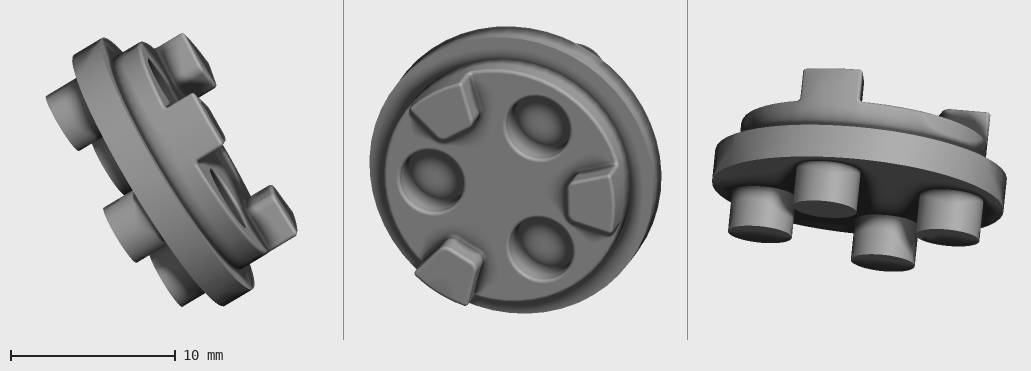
import cadquery as cq
import math

FLANGE_DIAMETER = 17.8
FLANGE_THICKNESS = 2.0

HUB_DIAMETER = 15.0
HUB_HEIGHT = 2.0
HUB_TOP = FLANGE_THICKNESS + HUB_HEIGHT

LUG_COUNT = 3
LUG_INNER_DISTANCE = 4.5
LUG_HEIGHT = 2.0
LUG_SPAN = 30
LUG_CORNER_RADIUS = 0.6
LUG_PITCH = 360 / LUG_COUNT

SOCKET_DIAMETER = 4.0
SOCKET_CIRCLE_RADIUS = 4.5
SOCKET_DEPTH = 2.5
SOCKET_START = LUG_PITCH / 2

PIN_DIAMETER = 3.9
PIN_LENGTH = 2.5
PIN_CIRCLE_RADIUS = 6.0
PIN_COUNT = 4

EDGE_RADIUS = 0.2

ROLL = -20.4
TILT_FROM_Z = 61.05
AZIMUTH = 37.4


def cylinder(diameter, height, base):
    return cq.Workplane("XY").workplane(offset=base).circle(diameter / 2).extrude(height)


def make_lug_column(angle):
    """Wedge centred on the given angle, its two inner corners rounded."""
    slope = math.tan(math.radians(LUG_SPAN / 2))
    inner_y = LUG_INNER_DISTANCE * slope
    outer_x = HUB_DIAMETER
    outer_y = outer_x * slope
    return (
        cq.Workplane("XY")
        .workplane(offset=HUB_TOP)
        .polyline([
            (LUG_INNER_DISTANCE, inner_y),
            (outer_x, outer_y),
            (outer_x, -outer_y),
            (LUG_INNER_DISTANCE, -inner_y),
        ])
        .close()
        .extrude(LUG_HEIGHT)
        .edges("|Z and <X")
        .fillet(LUG_CORNER_RADIUS)
        .rotate((0, 0, 0), (0, 0, 1), angle)
    )


def make_hub():
    """Hub with lugs, every edge from its top face upwards rounded."""
    hub = cylinder(HUB_DIAMETER, HUB_HEIGHT + LUG_HEIGHT, FLANGE_THICKNESS)
    clearance = cylinder(2 * HUB_DIAMETER, LUG_HEIGHT, HUB_TOP)
    for index in range(LUG_COUNT):
        clearance = clearance.cut(make_lug_column(index * LUG_PITCH))
    hub = hub.cut(clearance)
    upper_zone = cq.selectors.BoxSelector(
        (-HUB_DIAMETER, -HUB_DIAMETER, HUB_TOP - EDGE_RADIUS),
        (HUB_DIAMETER, HUB_DIAMETER, HUB_TOP + LUG_HEIGHT + EDGE_RADIUS),
    )
    return hub.edges(upper_zone).fillet(EDGE_RADIUS)


def make_socket_cutters():
    """Blind round cutters whose mouths flare out to a rounded rim."""
    radius = SOCKET_DIAMETER / 2
    mouth_radius = radius + EDGE_RADIUS
    profile = (
        cq.Workplane("XZ")
        .moveTo(0, HUB_TOP - SOCKET_DEPTH)
        .lineTo(radius, HUB_TOP - SOCKET_DEPTH)
        .lineTo(radius, HUB_TOP - EDGE_RADIUS)
        .radiusArc((mouth_radius, HUB_TOP), EDGE_RADIUS)
        .lineTo(0, HUB_TOP)
        .close()
    )
    cutter = profile.revolve(360, (0, 0, 0), (0, 1, 0)).translate((SOCKET_CIRCLE_RADIUS, 0, 0))
    return [
        cutter.rotate((0, 0, 0), (0, 0, 1), SOCKET_START + index * LUG_PITCH)
        for index in range(LUG_COUNT)
    ]


def make_pins():
    return (
        cq.Workplane("XY")
        .polarArray(PIN_CIRCLE_RADIUS, 0, 360, PIN_COUNT)
        .circle(PIN_DIAMETER / 2)
        .extrude(-PIN_LENGTH)
    )


body = cylinder(FLANGE_DIAMETER, FLANGE_THICKNESS, 0).union(make_hub()).union(make_pins())
for socket in make_socket_cutters():
    body = body.cut(socket)

result = (
    body.rotate((0, 0, 0), (0, 0, 1), ROLL)
    .rotate((0, 0, 0), (0, 1, 0), TILT_FROM_Z)
    .rotate((0, 0, 0), (0, 0, 1), AZIMUTH)
)